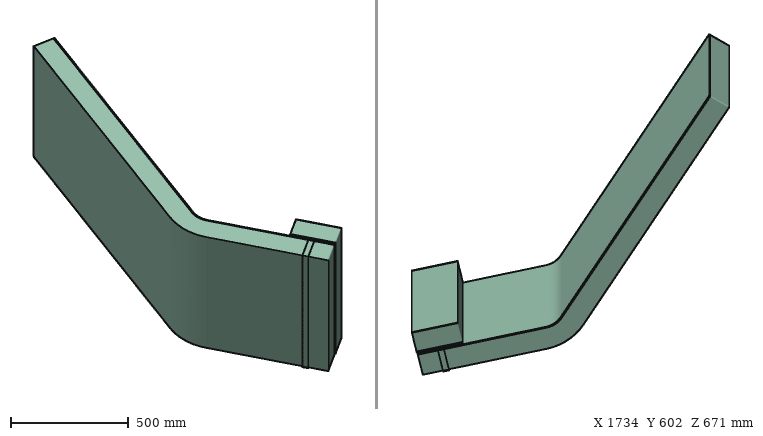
import cadquery as cq
import math

LENGTH = 1734.0
PANEL_HEIGHT = 665.0
PANEL_THICKNESS = 100.0
BEND_ANGLE = 45.5
BEND_X = 1283.0
OUTER_BEND_RADIUS = 250.0
INNER_BEND_RADIUS = 100.0
PANEL_SHEET = 5.5
PANEL_CORNER_RADIUS = 5.5

STRAP_HEIGHT = 671.0
STRAP_WIDTH = 26.0
STRAP_FROM_END = 88.0
STRAP_FRONT_THICKNESS = 4.9
STRAP_CORNER_RADIUS = 3.0

BOX_LENGTH = 201.0
BOX_DEPTH = 95.0
BOX_BEYOND_END = 2.0
BOX_GAP = 7.0
BOX_SHEET = 3.0
BOX_CORNER_RADIUS = 4.2

bend = math.radians(BEND_ANGLE)
arm_direction = cq.Vector(math.cos(bend), math.sin(bend), 0)
back_direction = cq.Vector(-math.sin(bend), math.cos(bend), 0)
arm_length = (LENGTH - BEND_X) / math.cos(bend)

arm_plane = cq.Plane(
    origin=(LENGTH, arm_length * math.sin(bend), 0),
    xDir=arm_direction,
    normal=(0, 0, 1),
)
ALONG_ARM = cq.selectors.ParallelDirSelector(arm_direction)
ACROSS_ARM = cq.selectors.ParallelDirSelector(back_direction)


def arm_block(start, end, front, back, height):
    """Block between two distances past the arm's end and two depths behind the arm's front face."""
    return (
        cq.Workplane(arm_plane)
        .center((start + end) / 2, (front + back) / 2)
        .rect(end - start, back - front)
        .extrude(height / 2, both=True)
    )


def panel_layer(front, back, front_radius, back_radius):
    """Layer of the bent panel between two depths, with rounded corners at both ends."""

    def bend_point(depth):
        return (BEND_X - depth * math.tan(bend / 2), depth)

    def end_point(depth):
        return arm_plane.toWorldCoords((0, depth)).toTuple()[:2]

    outline = [
        (0, front), bend_point(front), end_point(front),
        end_point(back), bend_point(back), (0, back),
    ]
    layer = cq.Workplane("XY").polyline(outline).close().extrude(PANEL_HEIGHT / 2, both=True)
    for depth, radius in ((front, front_radius), (back, back_radius)):
        bend_edge = cq.selectors.NearestToPointSelector((*bend_point(depth), 0))
        layer = layer.edges(bend_edge).fillet(radius)
    layer = layer.edges("|Y").fillet(PANEL_CORNER_RADIUS)
    return layer.edges(ACROSS_ARM).fillet(PANEL_CORNER_RADIUS)


def strap_frame(back):
    """Frame around the arm, with its outer corners rounded and its back wall reaching to a depth."""
    start = -STRAP_FROM_END - STRAP_WIDTH
    end = -STRAP_FROM_END
    outside = arm_block(start, end, -STRAP_FRONT_THICKNESS, back, STRAP_HEIGHT)
    outside = outside.edges(ALONG_ARM).fillet(STRAP_CORNER_RADIUS)
    opening = arm_block(start, end, 0, PANEL_THICKNESS, PANEL_HEIGHT)
    return outside.cut(opening)


def box_layer(front, back):
    """Layer of the box between two depths, with rounded corners."""
    layer = arm_block(BOX_BEYOND_END - BOX_LENGTH, BOX_BEYOND_END, front, back, PANEL_HEIGHT)
    return layer.edges(ACROSS_ARM).fillet(BOX_CORNER_RADIUS)


core_thickness = PANEL_THICKNESS - PANEL_SHEET
core_inner_radius = INNER_BEND_RADIUS + PANEL_SHEET
panel_core = panel_layer(0, core_thickness, OUTER_BEND_RADIUS, core_inner_radius)
panel_sheet = panel_layer(core_thickness, PANEL_THICKNESS, core_inner_radius, INNER_BEND_RADIUS)

box_front = PANEL_THICKNESS + BOX_GAP
strap = strap_frame(box_front)

box_back = box_front + BOX_DEPTH
box_core = box_layer(box_front + BOX_SHEET, box_back - BOX_SHEET)
box_sheets = [
    box_layer(front, front + BOX_SHEET).val()
    for front in (box_front, box_back - BOX_SHEET)
]

result = cq.Compound.makeCompound(
    [panel_core.val(), panel_sheet.val(), strap.val(), box_core.val(), *box_sheets]
)